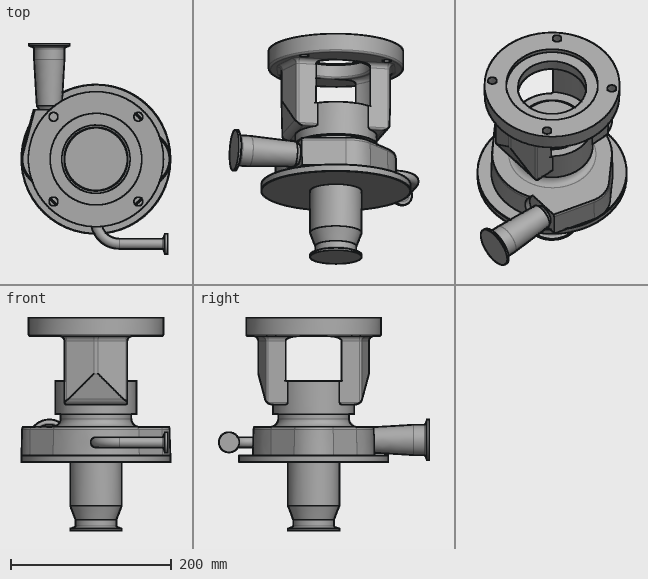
import cadquery as cq
import math


DIAGONAL = math.sin(math.radians(45))
SEAM_MARGIN = 0.1

TOP_Z = 180.0
FLANGE_RADIUS = 84.0
FLANGE_THICKNESS = 23.0
FLANGE_BOTTOM_Z = TOP_Z - FLANGE_THICKNESS
FLANGE_EDGE_FILLET = 2.5
SPIGOT_RADIUS = 57.0
SPIGOT_DEPTH = 6.0
FLANGE_BORE_RADIUS = 42.5
BOLT_CIRCLE_RADIUS = 74.5
BOLT_HOLE_DIAMETER = 11.0
BOLT_COUNT = 4
BOLT_START_ANGLE = 45

LEG_HALF_WIDTH = 39.2
LEG_RIDGE_Y = 69.0
LEG_RIDGE_HALF_WIDTH = 2.4
LEG_SLOPE = math.tan(math.radians(15))
LEG_BOTTOM_Z = 71.8
LEG_RIDGE_END_Z = 110.5
LEG_INNER_RADIUS = 52.3
LEG_ROOT_Y = 32.0
LEG_EDGE_FILLET = 3.0
LEG_TOE_FILLET = 10.0
LEG_FLANGE_FILLET = 6.0

HUB_RADIUS = 50.7
HUB_TOP_Z = 101.5
HUB_BOTTOM_Z = 60.0
NECK_RADIUS = 44.2
NECK_FILLET = 10.0
GROOVE_OUTER_RADIUS = 39.7
GROOVE_INNER_RADIUS = 38.9
GROOVE_DEPTH = 2.0

PLATE_RADIUS = 93.0
PLATE_THICKNESS = 9.0
PLATE_CHAMFER = 0.6
CASING_TOP_Z = 44.3
CASING_RADIUS = 75.8
CASING_DRAFT = 1.5
CASING_BEVEL_HEIGHT = 3.0
CASING_BEVEL_ANGLE = 15.0
EAR_X = 58.0
EAR_RADIUS = CASING_RADIUS - EAR_X * DIAGONAL
LUG_ANGLE = math.radians(15)
LUG_FACE_Y = 61.6
LUG_EXTRA_LENGTH = 6.0
OUTLET_CLEARANCE_RADIUS = 28.0

RIM_THICKNESS = 2.85
FERRULE_SLOPE = math.tan(math.radians(20))
FLARE_RADIUS = 1.8

INLET_Z = -85.1
INLET_RIM_RADIUS = 32.2
INLET_BODY_RADIUS = 32.2
INLET_PIPE_RADIUS = 25.6
INLET_CONE_TOP_Z = -53.8
INLET_CONE_BOTTOM_Z = -71.1

OUTLET_X = -EAR_X
OUTLET_Z = 28.0
OUTLET_FACE_Y = 143.75
OUTLET_RIM_RADIUS = 25.5
OUTLET_PIPE_RADIUS = 19.1
OUTLET_CONE_START_Y = 124.1
OUTLET_CONE_END_Y = 66.4
OUTLET_CONE_RADIUS = 15.7
OUTLET_NECK_RADIUS = 12.5

DRAIN_Z = 25.0
DRAIN_PIPE_RADIUS = 6.5
DRAIN_RIM_RADIUS = 12.75
DRAIN_RIM_THICKNESS = 3.7
DRAIN_BEND_RADIUS = 29.0
DRAIN_Y = -105.2
DRAIN_FACE_X = 89.5
DRAIN_ROOT_Y = -60.0


def cylinder(radius, bottom, top):
    return cq.Workplane("XY").workplane(offset=bottom).circle(radius).extrude(top - bottom)


def clamp_pipe(pipe_radius, rim_radius, rim_thickness, tail):
    """Pipe along +Z with its ferrule face at Z = 0; tail lists the (radius, height) points after the flare."""
    flare_foot = pipe_radius + FLARE_RADIUS
    cone_top = rim_thickness + (rim_radius - flare_foot) * FERRULE_SLOPE
    flare_top = cone_top + FLARE_RADIUS
    flare_shift = FLARE_RADIUS * (1 - DIAGONAL)
    profile = (
        cq.Workplane("XZ")
        .lineTo(rim_radius, 0)
        .lineTo(rim_radius, rim_thickness)
        .lineTo(flare_foot, cone_top)
        .threePointArc((pipe_radius + flare_shift, cone_top + flare_shift), (pipe_radius, flare_top))
    )
    for radius, height in tail:
        profile = profile.lineTo(radius, height)
    end_height = tail[-1][1]
    return profile.lineTo(0, end_height).close().revolve(360, (0, 0, 0), (0, 1, 0))


def make_leg():
    """Leg on the +Y side: the overlap of its plan, its side profile and its front profile."""
    height = FLANGE_BOTTOM_Z - LEG_BOTTOM_Z
    side_y = LEG_RIDGE_Y - (LEG_HALF_WIDTH - LEG_RIDGE_HALF_WIDTH) * LEG_SLOPE
    toe_y = LEG_RIDGE_Y - (LEG_RIDGE_END_Z - LEG_BOTTOM_Z) * LEG_SLOPE
    plan = (
        cq.Workplane("XY")
        .workplane(offset=LEG_BOTTOM_Z)
        .moveTo(-LEG_HALF_WIDTH, LEG_ROOT_Y)
        .lineTo(-LEG_HALF_WIDTH, side_y)
        .lineTo(-LEG_RIDGE_HALF_WIDTH, LEG_RIDGE_Y)
        .lineTo(LEG_RIDGE_HALF_WIDTH, LEG_RIDGE_Y)
        .lineTo(LEG_HALF_WIDTH, side_y)
        .lineTo(LEG_HALF_WIDTH, LEG_ROOT_Y)
        .close()
        .extrude(height)
    )
    plan = plan.faces("<X or >X").edges("|Z and >Y").fillet(LEG_EDGE_FILLET)
    side = (
        cq.Workplane("YZ")
        .moveTo(LEG_ROOT_Y, LEG_BOTTOM_Z)
        .lineTo(toe_y, LEG_BOTTOM_Z)
        .lineTo(LEG_RIDGE_Y, LEG_RIDGE_END_Z)
        .lineTo(LEG_RIDGE_Y, FLANGE_BOTTOM_Z)
        .lineTo(LEG_ROOT_Y, FLANGE_BOTTOM_Z)
        .close()
        .extrude(LEG_HALF_WIDTH, both=True)
    )
    side = side.faces("<Z").edges(">Y").fillet(LEG_TOE_FILLET)
    front = cq.Workplane("XY").box(2 * LEG_HALF_WIDTH, 2 * LEG_RIDGE_Y, height)
    front = front.edges("|Y and <Z").fillet(LEG_EDGE_FILLET)
    front = front.translate((0, 0, LEG_BOTTOM_Z + height / 2))
    leg = plan.intersect(side).intersect(front)
    return leg.cut(cylinder(LEG_INNER_RADIUS, HUB_TOP_Z, FLANGE_BOTTOM_Z))


def make_lantern():
    """Motor flange, legs and hub."""
    flange = cylinder(FLANGE_RADIUS, FLANGE_BOTTOM_Z, TOP_Z)
    flange = flange.cut(cylinder(FLANGE_BORE_RADIUS, FLANGE_BOTTOM_Z, TOP_Z))
    flange = flange.faces("<Z").edges().fillet(FLANGE_EDGE_FILLET)
    flange = flange.cut(cylinder(SPIGOT_RADIUS, TOP_Z - SPIGOT_DEPTH, TOP_Z))
    leg = make_leg()
    body = flange.union(leg).union(leg.mirror("XZ"))
    seam_box = cq.selectors.BoxSelector(
        (-LEG_HALF_WIDTH - SEAM_MARGIN, -LEG_RIDGE_Y - SEAM_MARGIN, FLANGE_BOTTOM_Z - SEAM_MARGIN),
        (LEG_HALF_WIDTH + SEAM_MARGIN, LEG_RIDGE_Y + SEAM_MARGIN, FLANGE_BOTTOM_Z + SEAM_MARGIN),
        boundingbox=True,
    )
    body = body.edges(seam_box).fillet(LEG_FLANGE_FILLET)
    holes = (
        cq.Workplane("XY")
        .workplane(offset=FLANGE_BOTTOM_Z)
        .polarArray(BOLT_CIRCLE_RADIUS, BOLT_START_ANGLE, 360, BOLT_COUNT)
        .circle(BOLT_HOLE_DIAMETER / 2)
        .extrude(FLANGE_THICKNESS)
    )
    hub = cylinder(HUB_RADIUS, HUB_BOTTOM_Z, HUB_TOP_Z)
    return body.cut(holes).union(hub)


def cut_hub_groove(body):
    groove = cylinder(GROOVE_OUTER_RADIUS, HUB_TOP_Z - GROOVE_DEPTH, HUB_TOP_Z)
    groove = groove.cut(cylinder(GROOVE_INNER_RADIUS, HUB_TOP_Z - GROOVE_DEPTH, HUB_TOP_Z))
    return body.cut(groove)


def make_neck():
    """Neck below the hub, flaring onto the casing top."""
    foot = NECK_RADIUS + NECK_FILLET
    flare_shift = NECK_FILLET * (1 - DIAGONAL)
    return (
        cq.Workplane("XZ")
        .moveTo(0, PLATE_THICKNESS)
        .lineTo(foot, PLATE_THICKNESS)
        .lineTo(foot, CASING_TOP_Z)
        .threePointArc(
            (NECK_RADIUS + flare_shift, CASING_TOP_Z + flare_shift),
            (NECK_RADIUS, CASING_TOP_Z + NECK_FILLET),
        )
        .lineTo(NECK_RADIUS, HUB_BOTTOM_Z)
        .lineTo(0, HUB_BOTTOM_Z)
        .close()
        .revolve(360, (0, 0, 0), (0, 1, 0))
    )


def drafted(outline):
    """Drafted casing wall with a steep bevel around its top."""
    wall_height = CASING_TOP_Z - CASING_BEVEL_HEIGHT - PLATE_THICKNESS
    wall = outline.extrude(wall_height, taper=CASING_DRAFT)
    rim = wall.faces(">Z").wires().toPending()
    return rim.extrude(CASING_BEVEL_HEIGHT, taper=CASING_BEVEL_ANGLE)


def make_casing():
    """Round casing with an ear on each side; the left ear runs into the discharge lug."""
    ring = CASING_RADIUS * DIAGONAL
    ear_tip_x = EAR_X + EAR_RADIUS
    ear_x = EAR_X + EAR_RADIUS * DIAGONAL
    ear_y = EAR_RADIUS * DIAGONAL
    base = cq.Workplane("XY").workplane(offset=PLATE_THICKNESS)

    round_body = drafted(
        base.moveTo(ring, -ring)
        .lineTo(ear_x, -ear_y)
        .threePointArc((ear_tip_x, 0), (ear_x, ear_y))
        .lineTo(ring, ring)
        .threePointArc((-CASING_RADIUS, 0), (ring, -ring))
        .close()
    )

    lug_start_x = -EAR_X - EAR_RADIUS * math.cos(LUG_ANGLE)
    lug_start_y = EAR_RADIUS * math.sin(LUG_ANGLE)
    lug_end_y = LUG_FACE_Y + LUG_EXTRA_LENGTH
    lug_end_x = lug_start_x + (lug_end_y - lug_start_y) * math.tan(LUG_ANGLE)
    lug = drafted(
        base.moveTo(-ring, -ring)
        .lineTo(-ear_x, -ear_y)
        .threePointArc((-ear_tip_x, 0), (lug_start_x, lug_start_y))
        .lineTo(lug_end_x, lug_end_y)
        .lineTo(0, lug_end_y)
        .lineTo(ring, -ring)
        .threePointArc((0, -CASING_RADIUS), (-ring, -ring))
        .close()
    )
    outlet_clearance = (
        cq.Workplane("XZ", origin=(OUTLET_X, LUG_FACE_Y, OUTLET_Z))
        .circle(OUTLET_CLEARANCE_RADIUS)
        .extrude(-CASING_RADIUS)
    )
    return round_body.union(lug).cut(outlet_clearance)


def make_base_plate():
    return cylinder(PLATE_RADIUS, 0, PLATE_THICKNESS).edges().chamfer(PLATE_CHAMFER)


def make_inlet():
    tail = [
        (INLET_PIPE_RADIUS, INLET_CONE_BOTTOM_Z - INLET_Z),
        (INLET_BODY_RADIUS, INLET_CONE_TOP_Z - INLET_Z),
        (INLET_BODY_RADIUS, PLATE_THICKNESS / 2 - INLET_Z),
    ]
    return clamp_pipe(INLET_PIPE_RADIUS, INLET_RIM_RADIUS, RIM_THICKNESS, tail).translate((0, 0, INLET_Z))


def make_outlet():
    tail = [
        (OUTLET_PIPE_RADIUS, OUTLET_FACE_Y - OUTLET_CONE_START_Y),
        (OUTLET_CONE_RADIUS, OUTLET_FACE_Y - OUTLET_CONE_END_Y),
        (OUTLET_NECK_RADIUS, OUTLET_FACE_Y - LUG_FACE_Y),
    ]
    pipe = clamp_pipe(OUTLET_PIPE_RADIUS, OUTLET_RIM_RADIUS, RIM_THICKNESS, tail)
    return pipe.rotate((0, 0, 0), (1, 0, 0), 90).translate((OUTLET_X, OUTLET_FACE_Y, OUTLET_Z))


def make_drain():
    """Elbow swept out of the casing, followed by a straight pipe with a ferrule."""
    bend_start_y = DRAIN_Y + DRAIN_BEND_RADIUS
    bend_middle = (DRAIN_BEND_RADIUS * (1 - DIAGONAL), bend_start_y - DRAIN_BEND_RADIUS * DIAGONAL)
    path = (
        cq.Workplane("XY")
        .workplane(offset=DRAIN_Z)
        .moveTo(0, DRAIN_ROOT_Y)
        .lineTo(0, bend_start_y)
        .threePointArc(bend_middle, (DRAIN_BEND_RADIUS, DRAIN_Y))
    )
    elbow = (
        cq.Workplane("XZ", origin=(0, DRAIN_ROOT_Y, DRAIN_Z))
        .circle(DRAIN_PIPE_RADIUS)
        .sweep(path)
    )
    tail = [(DRAIN_PIPE_RADIUS, DRAIN_FACE_X - DRAIN_BEND_RADIUS)]
    pipe = clamp_pipe(DRAIN_PIPE_RADIUS, DRAIN_RIM_RADIUS, DRAIN_RIM_THICKNESS, tail)
    pipe = pipe.rotate((0, 0, 0), (0, 1, 0), -90).translate((DRAIN_FACE_X, DRAIN_Y, DRAIN_Z))
    return elbow.union(pipe)


head = make_base_plate().union(make_casing()).union(make_neck())
head = head.union(cut_hub_groove(make_lantern()))
result = head.union(make_inlet()).union(make_outlet()).union(make_drain())